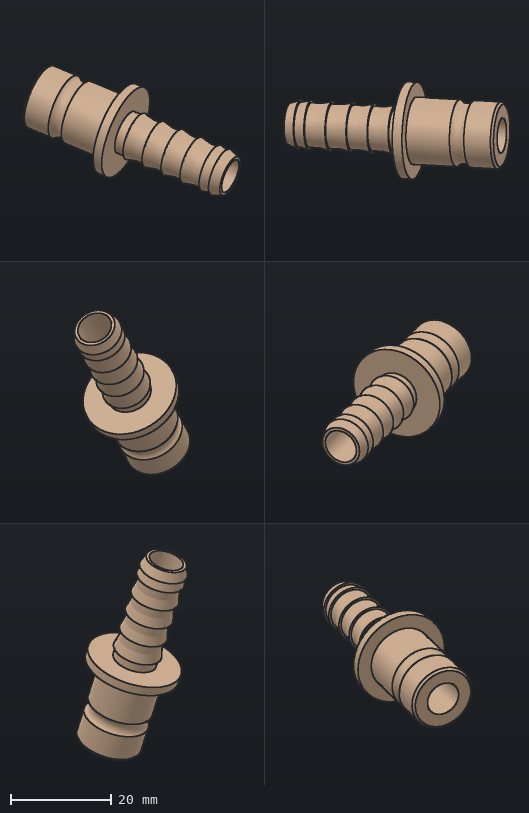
import cadquery as cq
import math

total_length = 44.0
bore_radius = 3.5

part_axis_start = (0, 0, 0)
part_axis_end = (1, 0, 0)

body_radius = 6.75
body_length = 18.0
body_chamfer = 0.5

groove_start = 6.0
groove_width = 3.0
groove_radius = 2.0
groove_depth = groove_radius - math.sqrt(groove_radius**2 - (groove_width / 2) ** 2)

flange_radius = 9.75
flange_thickness = 2.0

tail_radius = 4.5
barb_radius = 5.0
tip_radius = 4.2
barb_count = 5

tail_start = body_length + flange_thickness
tail_length = total_length - tail_start
stretch_length = tail_length / (2 * barb_count + 1)


def plug_body():
    """Cylinder with a lead-in chamfer and an arc-shaped locking groove."""
    groove_end = groove_start + groove_width
    groove_middle = groove_start + groove_width / 2
    return (
        cq.Workplane("XZ")
        .moveTo(0, 0)
        .lineTo(0, body_radius - body_chamfer)
        .lineTo(body_chamfer, body_radius)
        .lineTo(groove_start, body_radius)
        .threePointArc((groove_middle, body_radius - groove_depth), (groove_end, body_radius))
        .lineTo(body_length, body_radius)
        .lineTo(body_length, 0)
        .close()
        .revolve(360, part_axis_start, part_axis_end)
    )


def flange():
    """Flat disc between the plug body and the hose tail."""
    return cq.Workplane("YZ", origin=(body_length, 0, 0)).circle(flange_radius).extrude(flange_thickness)


def hose_tail():
    """Barbed tail: each barb steps up and tapers back down; the tip tapers further."""
    outline = cq.Workplane("XZ").moveTo(tail_start, 0).lineTo(tail_start, tail_radius)
    for barb in range(barb_count):
        barb_start = tail_start + (2 * barb + 1) * stretch_length
        outline = (
            outline.lineTo(barb_start, tail_radius)
            .lineTo(barb_start, barb_radius)
            .lineTo(barb_start + stretch_length, tail_radius)
        )
    tip_start = total_length - stretch_length
    return (
        outline.lineTo(tip_start, barb_radius)
        .lineTo(total_length, tip_radius)
        .lineTo(total_length, 0)
        .close()
        .revolve(360, part_axis_start, part_axis_end)
    )


def through_bore():
    """Constant-diameter flow passage along the whole part."""
    return cq.Workplane("YZ").circle(bore_radius).extrude(total_length)


result = plug_body().union(flange()).union(hose_tail()).cut(through_bore())